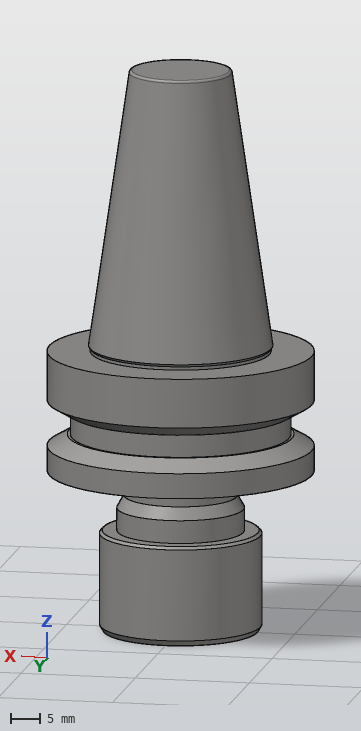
import cadquery as cq
import math


gauge_height = 50.0
taper_length = 48.4
gauge_diameter = 31.75
taper_ratio = 7 / 24
taper_tip_fillet = 0.5
relief_diameter = 31.15
relief_length = 1.0
undercut_angle = 55.0

flange_diameter = 45.98
flange_bottom = 28.0
groove_diameter = 38.0
groove_center = 36.4
groove_floor_width = 4.0
groove_flank_diameter = 39.0
groove_flank_angle = 30.0

neck_diameter = 19.5
neck_fillet = 2.0
collar_diameter = 22.0
collar_cone_bottom = 21.5
collar_cone_angle = 60.0

nut_diameter = 28.0
nut_height = 17.5
nut_top_chamfer = 0.5
nut_bottom_chamfer_angle = 60.0
nut_bottom_chamfer_height = 1.0


def slope_rise(large_diameter, small_diameter, angle):
    """Axial length of a cone whose side stands at the given angle to the horizontal."""
    return (large_diameter - small_diameter) / 2 * math.tan(math.radians(angle))


def cylinder(diameter, bottom, top):
    return cq.Workplane("XY", origin=(0, 0, bottom)).circle(diameter / 2).extrude(top - bottom)


def revolved(profile):
    """Close an XZ profile of (radius, height) points and turn it about the Z axis."""
    return profile.close().revolve(360, (0, 0), (0, 1))


def taper_shank():
    tip_diameter = gauge_diameter - taper_ratio * taper_length
    tip_height = gauge_height + taper_length
    profile = (
        cq.Workplane("XZ")
        .moveTo(0, gauge_height)
        .lineTo(gauge_diameter / 2, gauge_height)
        .lineTo(tip_diameter / 2, tip_height)
        .lineTo(0, tip_height)
    )
    return revolved(profile).faces(">Z").edges().fillet(taper_tip_fillet)


def flange():
    flange_top = gauge_height - relief_length
    half_floor = groove_floor_width / 2
    half_mouth = half_floor + slope_rise(flange_diameter, groove_flank_diameter, groove_flank_angle)
    groove = revolved(
        cq.Workplane("XZ")
        .moveTo(flange_diameter / 2, groove_center - half_mouth)
        .lineTo(groove_flank_diameter / 2, groove_center - half_floor)
        .lineTo(groove_diameter / 2, groove_center - half_floor)
        .lineTo(groove_diameter / 2, groove_center + half_floor)
        .lineTo(groove_flank_diameter / 2, groove_center + half_floor)
        .lineTo(flange_diameter / 2, groove_center + half_mouth)
    )
    undercut_drop = slope_rise(gauge_diameter, relief_diameter, undercut_angle)
    relief = revolved(
        cq.Workplane("XZ")
        .moveTo(0, flange_top)
        .lineTo(relief_diameter / 2, flange_top)
        .lineTo(relief_diameter / 2, gauge_height - undercut_drop)
        .lineTo(gauge_diameter / 2, gauge_height)
        .lineTo(0, gauge_height)
    )
    return cylinder(flange_diameter, flange_bottom, flange_top).cut(groove).union(relief)


def neck():
    cone_rise = slope_rise(collar_diameter, neck_diameter, collar_cone_angle)
    neck_radius = neck_diameter / 2
    fillet_center = (neck_radius + neck_fillet, flange_bottom - neck_fillet)
    fillet_middle = (
        fillet_center[0] - neck_fillet * math.cos(math.pi / 4),
        fillet_center[1] + neck_fillet * math.sin(math.pi / 4),
    )
    profile = (
        cq.Workplane("XZ")
        .moveTo(0, nut_height)
        .lineTo(collar_diameter / 2, nut_height)
        .lineTo(collar_diameter / 2, collar_cone_bottom)
        .lineTo(neck_radius, collar_cone_bottom + cone_rise)
        .lineTo(neck_radius, fillet_center[1])
        .threePointArc(fillet_middle, (fillet_center[0], flange_bottom))
        .lineTo(0, flange_bottom)
    )
    return revolved(profile)


def clamping_nut():
    nut_radius = nut_diameter / 2
    bottom_chamfer_width = nut_bottom_chamfer_height / math.tan(math.radians(nut_bottom_chamfer_angle))
    profile = (
        cq.Workplane("XZ")
        .moveTo(0, 0)
        .lineTo(nut_radius - bottom_chamfer_width, 0)
        .lineTo(nut_radius, nut_bottom_chamfer_height)
        .lineTo(nut_radius, nut_height - nut_top_chamfer)
        .lineTo(nut_radius - nut_top_chamfer, nut_height)
        .lineTo(0, nut_height)
    )
    return revolved(profile)


result = clamping_nut().union(neck()).union(flange()).union(taper_shank())